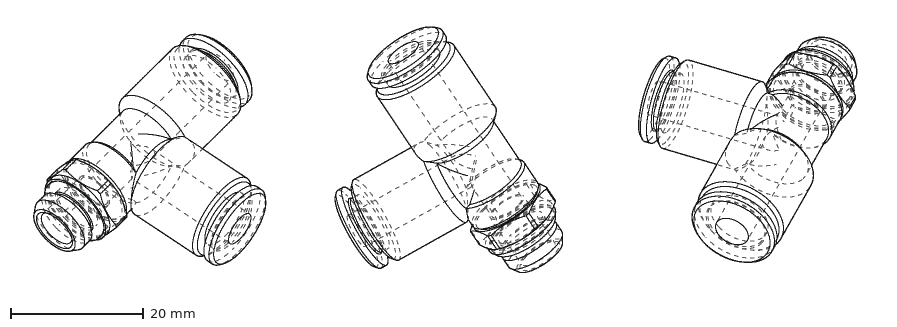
import cadquery as cq
import math


port_end = 21.5
flange_radius = 6.75
flange_thickness = 1.5
collar_neck_radius = 4.65
flange_root_radius = 4.8
flange_root_length = 0.28
edge_chamfer = 0.5
barrel_radius = 7.0
barrel_end = port_end - 3.0
barrel_start = 5.92
tee_radius = 5.55
taper_start = barrel_start - (barrel_radius - tee_radius)

shoulder_radius = 5.92
shoulder_top = -3.6
shoulder_bevel_length = 0.45
shoulder_bottom = -8.5
shoulder_chamfer = 0.47

hex_across_flats = 12.0
hex_corner_radius = 6.75
hex_sides = 6
hex_face_radius = shoulder_radius
hex_length = 3.5
hex_top = shoulder_bottom
hex_bottom = hex_top - hex_length
hex_chamfer_angle = 30.0

seal_flange_face = -13.0
ring_section_radius = 0.83
ring_outer_radius = 5.55
ring_centre_radius = ring_outer_radius - ring_section_radius
ring_inner_radius = ring_centre_radius - ring_section_radius
ring_centre_y = -13.3
recess_floor = ring_centre_y + ring_section_radius

thread_radius = 4.85
thread_start = -15.0
thread_end = -16.7
spigot_end = -18.0
spigot_tip_radius = 4.05
undercut_end = thread_start + (thread_radius - ring_inner_radius)

bore_radius = 2.7
spigot_bore_radius = 3.0
spigot_mouth_radius = spigot_bore_radius + edge_chamfer
spigot_mouth_depth = edge_chamfer
spigot_bore_end = hex_top


def revolve_about_y(points):
    """Solid of revolution about Y from (y, radius) points."""
    profile = cq.Workplane("YZ").polyline(points).close()
    return profile.revolve(360, (0, 0, 0), (1, 0, 0))


def port_profile():
    """(distance, radius) points of a tube port, from the slim tube out to the axis."""
    flange_back = port_end - flange_thickness
    return [
        (taper_start, tee_radius),
        (barrel_start, barrel_radius),
        (barrel_end - edge_chamfer, barrel_radius),
        (barrel_end, barrel_radius - edge_chamfer),
        (barrel_end, collar_neck_radius),
        (flange_back - flange_root_length, collar_neck_radius),
        (flange_back, flange_root_radius),
        (flange_back, flange_radius),
        (port_end - edge_chamfer, flange_radius),
        (port_end, flange_radius - edge_chamfer),
        (port_end, 0),
    ]


def make_run():
    """Run of the tee with the swivel collar, seal flange and threaded spigot."""
    spigot = [
        (spigot_end, 0),
        (spigot_end, spigot_tip_radius),
        (thread_end, thread_radius),
        (thread_start, thread_radius),
        (undercut_end, ring_inner_radius),
    ]
    seal_seat = [
        (recess_floor, ring_inner_radius),
        (recess_floor, ring_outer_radius),
        (seal_flange_face, ring_outer_radius),
        (seal_flange_face, shoulder_radius),
        (hex_bottom, shoulder_radius),
    ]
    swivel_collar = [
        (shoulder_bottom, shoulder_radius - shoulder_chamfer),
        (shoulder_bottom + shoulder_chamfer, shoulder_radius),
        (shoulder_top - shoulder_bevel_length, shoulder_radius),
        (shoulder_top, tee_radius),
    ]
    return revolve_about_y(spigot + seal_seat + swivel_collar + port_profile())


def make_branch():
    """Branch of the tee: a tube port turned onto the +X axis."""
    along_y = revolve_about_y([(0, 0), (0, tee_radius)] + port_profile())
    return along_y.rotate((0, 0, 0), (0, 0, 1), -90)


def make_hexagon():
    """Hexagon with flats on top and bottom, its corners turned and chamfered."""
    across_corners = hex_across_flats / math.cos(math.pi / hex_sides)
    prism = (
        cq.Workplane("XZ", origin=(0, hex_top, 0))
        .polygon(hex_sides, across_corners)
        .extrude(hex_length)
    )
    chamfer_length = (hex_corner_radius - hex_face_radius) * math.tan(math.radians(hex_chamfer_angle))
    turned = revolve_about_y([
        (hex_bottom, 0),
        (hex_bottom, hex_face_radius),
        (hex_bottom + chamfer_length, hex_corner_radius),
        (hex_top - chamfer_length, hex_corner_radius),
        (hex_top, hex_face_radius),
        (hex_top, 0),
    ])
    return prism.intersect(turned)


def make_bores():
    """Through bore of the run, widened in the spigot, and the bore of the branch."""
    run_bore = revolve_about_y([
        (spigot_end, 0),
        (spigot_end, spigot_mouth_radius),
        (spigot_end + spigot_mouth_depth, spigot_bore_radius),
        (spigot_bore_end, spigot_bore_radius),
        (spigot_bore_end, bore_radius),
        (port_end, bore_radius),
        (port_end, 0),
    ])
    branch_bore = cq.Workplane("YZ").circle(bore_radius).extrude(port_end)
    return run_bore.union(branch_bore)


def make_fitting():
    """One-piece tee with hexagon and spigot."""
    outside = make_run().union(make_branch()).union(make_hexagon())
    return outside.cut(make_bores())


def make_seal_ring():
    """O-ring seated in the recess under the hexagon, round the thread undercut."""
    ring = cq.Solid.makeTorus(
        ring_centre_radius,
        ring_section_radius,
        cq.Vector(0, ring_centre_y, 0),
        cq.Vector(0, 1, 0),
    )
    return cq.Workplane("XY").newObject([ring])


fitting = make_fitting()
seal_ring = make_seal_ring()

result = cq.Compound.makeCompound([fitting.solids().val(), seal_ring.val()])